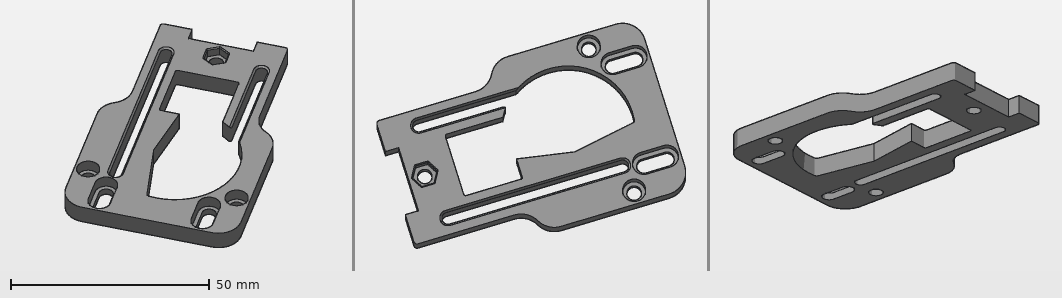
import cadquery as cq
import math

length = 71
width = 45.95
thickness = 5
neck_width = 33.4
corner_radius = 5.9
shoulder_end_y = 34.35
neck_corner_radius = 0.85
notch_width = 17.05
notch_depth = 3.5

opening_radius = 16.9
opening_y = 25.4
vee_tip_x = -5.55
vee_lean = math.radians(10)
vee_corner_radius = 1.0

window_width = 16.6
window_top_y = 55.4
window_bottom_y = 40.0
window_corner_radius = 0.5

guide_x = 12.5
guide_width = 3.05
guide_rim = 0.5
guide_top_y = 62.55
guide_bottom_y = 13.4
arm_tip_radius = 0.5

screw_diameter = 3.7
head_diameter = 5.8
head_depth = 3.1
screw_x = 19.45
screw_y = 14.05
short_slot_x = 13.5
short_slot_y = 6.6
short_slot_travel = 6.0

nut_y = 63.25
nut_across_flats = 5.55
nut_depth = 2.5
nut_rim = 0.3


def make_plate():
    """Extruded outline with S-shaped shoulders of two equal tangent arcs."""
    half_width = width / 2
    half_neck = neck_width / 2
    shoulder_step = half_width - half_neck
    turn = math.acos(1 - shoulder_step / (2 * corner_radius))
    middle_x = half_width - shoulder_step / 2
    middle_y = shoulder_end_y + corner_radius * math.sin(turn)
    neck_start_y = shoulder_end_y + 2 * corner_radius * math.sin(turn)
    arc_x = corner_radius * (1 - math.cos(turn / 2))
    arc_y = corner_radius * math.sin(turn / 2)

    half = (
        cq.Workplane("XY")
        .lineTo(half_width, 0)
        .lineTo(half_width, shoulder_end_y)
        .threePointArc((half_width - arc_x, shoulder_end_y + arc_y), (middle_x, middle_y))
        .threePointArc((half_neck + arc_x, neck_start_y - arc_y), (half_neck, neck_start_y))
        .lineTo(half_neck, length)
        .lineTo(0, length)
        .close()
        .extrude(thickness)
    )
    half = half.edges("|Z and >X and <Y").fillet(corner_radius)
    half = half.edges(cq.selectors.NearestToPointSelector((half_neck, length, thickness / 2)))
    half = half.fillet(neck_corner_radius)
    plate = half.union(half.mirror("YZ"))
    notch = cq.Workplane("XY").center(0, length - notch_depth / 2)
    return plate.cut(notch.rect(notch_width, notch_depth).extrude(thickness))


def make_opening():
    """Disc trimmed by the V, joined to the rounded window above it."""
    disc = cq.Workplane("XY").center(0, opening_y).circle(opening_radius).extrude(thickness)
    reach = 2 * opening_radius
    edge_shift = reach * math.tan(vee_lean)
    vee = (
        cq.Workplane("XY")
        .moveTo(vee_tip_x, opening_y)
        .lineTo(vee_tip_x + edge_shift, opening_y + reach)
        .lineTo(reach, opening_y + reach)
        .lineTo(reach, opening_y - reach)
        .lineTo(vee_tip_x + edge_shift, opening_y - reach)
        .close()
        .extrude(thickness)
    )
    round_part = disc.intersect(vee).edges("|Z and <Y").fillet(vee_corner_radius)
    window_height = window_top_y - window_bottom_y
    window = (
        cq.Workplane("XY")
        .center(0, window_bottom_y + window_height / 2)
        .rect(window_width, window_height)
        .extrude(thickness)
        .edges("|Z")
        .fillet(window_corner_radius)
    )
    return round_part.union(window)


def slot_along_y(x, y, total_length, slot_width, bottom_z):
    """Cutter for a round-ended slot from bottom_z up to the top face."""
    return (
        cq.Workplane("XY", origin=(x, y, bottom_z))
        .slot2D(total_length, slot_width, 90)
        .extrude(thickness - bottom_z)
    )


def make_guide(x, bottom_y):
    """Cutter for a guide slot."""
    return slot_along_y(x, (guide_top_y + bottom_y) / 2, guide_top_y - bottom_y, guide_width, 0)


def make_guide_rim(x, bottom_y):
    """Cutter that flares upward at 45 degrees to chamfer a guide slot's rim."""
    return (
        cq.Workplane("XY", origin=(x, (guide_top_y + bottom_y) / 2, thickness - guide_rim))
        .slot2D(guide_top_y - bottom_y, guide_width, 90)
        .extrude(guide_rim, taper=-45)
    )


def make_screw_hole(x):
    """Cutter for a counterbored screw hole."""
    hole = cq.Workplane("XY").center(x, screw_y).circle(screw_diameter / 2).extrude(thickness)
    head = cq.Workplane("XY", origin=(x, screw_y, thickness - head_depth))
    return hole.union(head.circle(head_diameter / 2).extrude(head_depth))


def make_short_slot(x):
    """Cutter for a counterbored adjusting slot."""
    slot = slot_along_y(x, short_slot_y, short_slot_travel + screw_diameter, screw_diameter, 0)
    head_length = short_slot_travel + head_diameter
    return slot.union(
        slot_along_y(x, short_slot_y, head_length, head_diameter, thickness - head_depth)
    )


def make_nut_hole():
    """Cutter for a screw hole under a chamfered hexagonal pocket with corners along Y."""
    across_corners = nut_across_flats / math.cos(math.radians(30))
    hole = cq.Workplane("XY").center(0, nut_y).circle(screw_diameter / 2).extrude(thickness)
    hexagon = cq.Workplane("XY").transformed(
        rotate=(0, 0, 90), offset=(0, nut_y, thickness - nut_depth)
    )
    pocket = hexagon.polygon(6, across_corners).extrude(nut_depth)
    rim = (
        hexagon.workplane(offset=nut_depth - nut_rim)
        .polygon(6, across_corners)
        .extrude(nut_rim, taper=-45)
    )
    return hole.union(pocket).union(rim)


result = make_plate().cut(make_opening()).cut(make_nut_hole())

guides = ((-guide_x, guide_bottom_y), (guide_x, opening_y))
for x, bottom_y in guides:
    result = result.cut(make_guide(x, bottom_y))

arm_tip_x = guide_x - guide_width / 2
arm_tip_y = opening_y + math.sqrt(opening_radius**2 - arm_tip_x**2)
arm_tip = cq.selectors.NearestToPointSelector((arm_tip_x, arm_tip_y, thickness / 2))
result = result.edges("|Z").edges(arm_tip).fillet(arm_tip_radius)

for x, bottom_y in guides:
    result = result.cut(make_guide_rim(x, bottom_y))

for side in (-1, 1):
    result = result.cut(make_screw_hole(side * screw_x))
    result = result.cut(make_short_slot(side * short_slot_x))